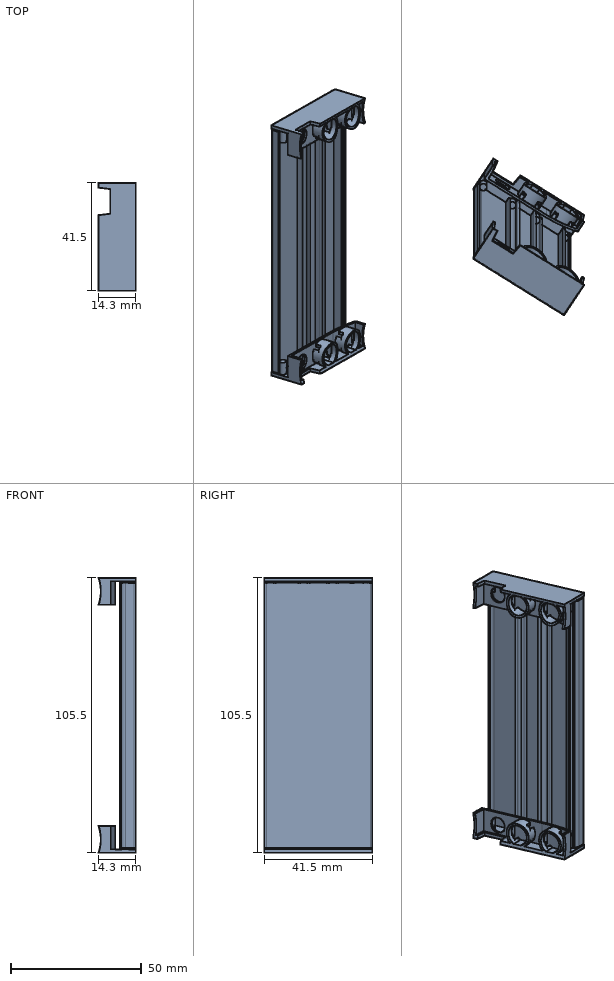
import cadquery as cq
import math

LENGTH = 105.5
WIDTH = 41.5
DEPTH = 14.3
MID_Y = WIDTH / 2

CAP_HEIGHT = 10.3
PLATE_THICKNESS = 1.4
WALL_THICKNESS = 1.0
WALL_BACK_X = 6.4
WALL_FRONT_X = WALL_BACK_X - WALL_THICKNESS
WALL_BEND_Y = 13.7
WALL_BEND_SAG = 1.8
FLANGE_THICKNESS = 1.0
FAR_FLANGE_TIP = 1.0
FAR_FLANGE_ROOT = 1.4
FRONT_SAG = 0.8

NOTCH_DEPTH = 4.4
NOTCH_LOW_Y = 29.6
NOTCH_HIGH_Y = 39.0
NOTCH_SLANT = 0.5

RING_YS = (7.1, 21.7)
RING_OUTER_D = 10.0
RING_BORE_D = 8.2
SLOT_NEAR = 2.7
SLOT_FAR = 4.2
SLOT_DEPTH = 2.3
RIB_HEIGHT = 1.2
RIB_DEPTH = 3.3
HOLE_Y = 33.7
HOLE_D = 6.2

PIN_D = 2.7
PIN_R = PIN_D / 2
PIN_X = 10.2
PIN_LENGTH = 5.1
INNER_PIN_OFFSET = 5.5
LOW_PIN_Y = 2.3
HIGH_PIN_Y = 39.5
PIN_YS = (LOW_PIN_Y, MID_Y - INNER_PIN_OFFSET, MID_Y + INNER_PIN_OFFSET, HIGH_PIN_Y)

END_GAP = 0.5
PROFILE_LENGTH = LENGTH - 2 * (PLATE_THICKNESS + END_GAP)
PROFILE_FRONT_X = 8.2
MIDDLE_FLOOR_X = 10.9
OUTER_FLOOR_X = PIN_X + PIN_R
HOOK_REACH = 1.2
HOOK_WIDTH = 1.1
RIM_WIDTH = 0.7
RIM_FRONT_X = 9.3
EDGE_RADIUS = PIN_X - PROFILE_FRONT_X
EDGE_MOUTH = (1.6, 3.4)
EDGE_LIP_X = 8.7
EDGE_HOOK_WIDTH = 1.1
SEAT_FRONT_X = 11.1
BACK_FILLET = 0.7


def box(x, y, z):
    """Box from (low, high) ranges along the three axes."""
    size = (x[1] - x[0], y[1] - y[0], z[1] - z[0])
    return cq.Workplane("XY").box(*size, centered=False).translate((x[0], y[0], z[0]))


def rod(diameter, y, z, x_from, x_to):
    """Cylinder along X."""
    return cq.Workplane("YZ", origin=(x_from, y, z)).circle(diameter / 2).extrude(x_to - x_from)


def make_wall_side(wall_x):
    """Everything in front of a wall face that is straight at high Y and curves forward toward Y = 0."""
    radius = (WALL_BEND_Y**2 + WALL_BEND_SAG**2) / (2 * WALL_BEND_SAG)
    mid_y = WALL_BEND_Y / 2
    mid_shift = radius - math.sqrt(radius**2 - (WALL_BEND_Y - mid_y) ** 2)
    return (
        cq.Workplane("XY")
        .moveTo(0, 0)
        .lineTo(wall_x - WALL_BEND_SAG, 0)
        .threePointArc((wall_x - mid_shift, mid_y), (wall_x, WALL_BEND_Y))
        .lineTo(wall_x, WIDTH)
        .lineTo(0, WIDTH)
        .close()
        .extrude(CAP_HEIGHT)
    )


def make_bracket():
    """Upright wall with a flange at each end; the inner face of the far flange is slanted."""
    between_flanges = (
        cq.Workplane("XY")
        .polyline([
            (0, FLANGE_THICKNESS),
            (WALL_FRONT_X, FLANGE_THICKNESS),
            (WALL_FRONT_X, WIDTH - FAR_FLANGE_ROOT),
            (0, WIDTH - FAR_FLANGE_TIP),
        ])
        .close()
        .extrude(CAP_HEIGHT)
    )
    hollow = make_wall_side(WALL_FRONT_X).intersect(between_flanges)
    return make_wall_side(WALL_BACK_X).cut(hollow)


def make_ring(y):
    """Ring standing on the wall, with two upright slots beside the wall."""
    z = CAP_HEIGHT / 2
    ring = rod(RING_OUTER_D, y, z, 0, WALL_BACK_X).cut(rod(RING_BORE_D, y, z, 0, WALL_BACK_X))
    for side in (-1, 1):
        slot_y = sorted((y + side * SLOT_NEAR, y + side * SLOT_FAR))
        ring = ring.cut(box((WALL_FRONT_X - SLOT_DEPTH, WALL_BACK_X), slot_y, (0, CAP_HEIGHT)))
    return ring


def make_front_cutter():
    """Cylinder along Y that hollows the front of the cap."""
    radius = ((CAP_HEIGHT / 2) ** 2 + FRONT_SAG**2) / (2 * FRONT_SAG)
    return (
        cq.Workplane("XZ", origin=(FRONT_SAG - radius, 0, CAP_HEIGHT / 2))
        .circle(radius)
        .extrude(-WIDTH)
    )


def make_cap():
    """Lower end cap with the outer face of its plate on Z = 0."""
    mid_z = CAP_HEIGHT / 2
    cap = box((0, DEPTH), (0, WIDTH), (0, PLATE_THICKNESS))
    notch = (
        cq.Workplane("XY")
        .polyline([
            (0, NOTCH_LOW_Y - NOTCH_SLANT),
            (NOTCH_DEPTH, NOTCH_LOW_Y),
            (NOTCH_DEPTH, NOTCH_HIGH_Y),
            (0, NOTCH_HIGH_Y + NOTCH_SLANT),
        ])
        .close()
        .extrude(PLATE_THICKNESS)
    )
    cap = cap.cut(notch).union(make_bracket())

    front_space = make_wall_side(WALL_BACK_X)
    for y in RING_YS:
        cap = cap.union(make_ring(y).intersect(front_space))
    cap = cap.cut(rod(HOLE_D, HOLE_Y, mid_z, 0, WALL_BACK_X))
    cap = cap.cut(make_front_cutter())
    pins = (
        cq.Workplane("XY")
        .pushPoints([(PIN_X, y) for y in PIN_YS])
        .circle(PIN_R)
        .extrude(PLATE_THICKNESS + PIN_LENGTH)
    )
    return cap.union(pins)


def make_rib():
    """Small rib between the outer ring of the upper cap and its near flange."""
    mid_z = (LENGTH - CAP_HEIGHT) / 2
    rib_back_x = WALL_BACK_X - WALL_BEND_SAG
    rib_x = (rib_back_x - RIB_DEPTH, rib_back_x)
    ring_wall_y = RING_YS[0] - (RING_OUTER_D + RING_BORE_D) / 4
    return box(rib_x, (FLANGE_THICKNESS / 2, ring_wall_y), (mid_z - RIB_HEIGHT / 2, mid_z + RIB_HEIGHT / 2))


def cut_front(body, back_x, y_ends):
    """Clear the profile in front of back_x between two Y values, along its whole length."""
    return body.cut(box((PROFILE_FRONT_X, back_x), sorted(y_ends), (0, PROFILE_LENGTH)))


def round_wall(body, front_x, y_ends):
    """Trim the wall between two Y values so that it ends in a half round at front_x."""
    radius = abs(y_ends[1] - y_ends[0]) / 2
    axis_x = front_x + radius
    tip = cq.Workplane("XY").center(axis_x, sum(y_ends) / 2).circle(radius).extrude(PROFILE_LENGTH)
    return cut_front(body, axis_x, y_ends).union(tip)


def make_profile():
    """Extruded profile with open screw channels and recessed floors between them."""
    body = box((PROFILE_FRONT_X, DEPTH), (0, WIDTH), (0, PROFILE_LENGTH))
    body = body.edges("|Z and >X").fillet(BACK_FILLET)
    body = body.edges("|Z and <X and <Y").fillet(EDGE_RADIUS)
    for y in PIN_YS:
        body = body.cut(cq.Workplane("XY").center(PIN_X, y).circle(PIN_R).extrude(PROFILE_LENGTH))

    body = cut_front(body, EDGE_LIP_X, (0, EDGE_MOUTH[0]))
    body = cut_front(body, PIN_X, EDGE_MOUTH)
    body = cut_front(body, SEAT_FRONT_X, (HIGH_PIN_Y, WIDTH))

    edge_hook_y = EDGE_MOUTH[1] + EDGE_HOOK_WIDTH
    for side, outer_floor_end in ((-1, edge_hook_y), (1, HIGH_PIN_Y)):
        axis_y = MID_Y + side * INNER_PIN_OFFSET
        hook = (axis_y - side * HOOK_REACH, axis_y - side * (HOOK_REACH + HOOK_WIDTH))
        rim = (axis_y + side * PIN_R, axis_y + side * (PIN_R + RIM_WIDTH))
        body = cut_front(body, PIN_X, (hook[0], rim[0]))
        body = cut_front(body, OUTER_FLOOR_X, (rim[1], outer_floor_end))
        body = cut_front(body, MIDDLE_FLOOR_X, (hook[1], MID_Y))
        body = round_wall(body, PROFILE_FRONT_X, hook)
        body = round_wall(body, RIM_FRONT_X, rim)
    return body.translate((0, 0, -PROFILE_LENGTH / 2))


profile = make_profile()
lower_cap = make_cap().translate((0, 0, -LENGTH / 2))
upper_cap = lower_cap.mirror("XY").union(make_rib())

result = cq.Compound.makeCompound([profile.val(), lower_cap.val(), upper_cap.val()])